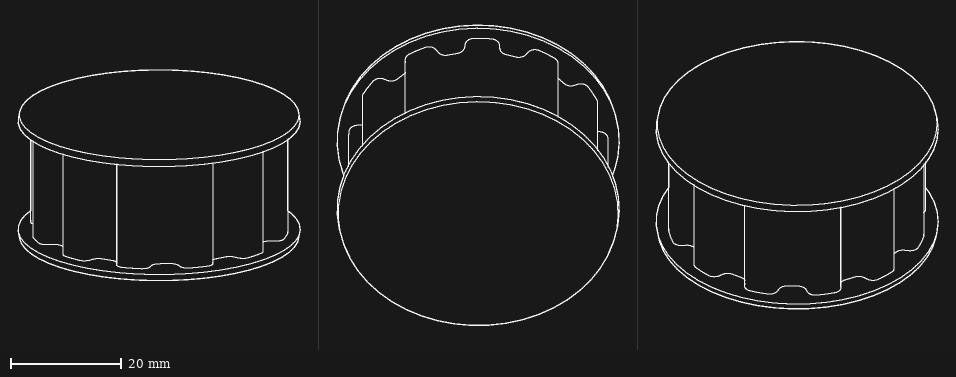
import cadquery as cq
import math

overall_height = 23.2

tooth_count = 12
tip_radius = 23.55
groove_depth = 3.05
groove_floor_width = 4.2
groove_flank_angle = 20.0
floor_fillet = 1.65
tip_fillet = 1.6

flange_radius = 25.6
flange_thickness = 1.3
flange_tilt = 10.0

pitch_angle = 360.0 / tooth_count
floor_radius = tip_radius - groove_depth

tilt = math.radians(flange_tilt)
outer_bend_radius = tip_radius
inner_bend_radius = outer_bend_radius + flange_thickness * math.tan(tilt / 2)
inner_rim_rise = (flange_radius - inner_bend_radius) * math.tan(tilt)
outer_rim_radius = flange_radius - flange_thickness * math.sin(tilt)
outer_rim_rise = inner_rim_rise + flange_thickness * math.cos(tilt)
half_tooth_width = overall_height / 2 - outer_rim_rise


def make_groove_cutter():
    """Groove with flared flanks and a rounded floor, open towards +X beyond the tooth tips."""
    mouth_radius = tip_radius + groove_depth
    flare = (mouth_radius - floor_radius) * math.tan(math.radians(groove_flank_angle))
    half_floor = groove_floor_width / 2
    half_mouth = half_floor + flare
    outline = [
        (floor_radius, -half_floor),
        (mouth_radius, -half_mouth),
        (mouth_radius, half_mouth),
        (floor_radius, half_floor),
    ]
    return (
        cq.Workplane("XY")
        .polyline(outline)
        .close()
        .extrude(half_tooth_width, both=True)
        .edges("|Z and <X")
        .fillet(floor_fillet)
    )


def is_tooth_corner(edge):
    """True for an upright edge near the tip circle, where a groove flank meets it."""
    center = edge.Center()
    return math.hypot(center.x, center.y) > tip_radius - groove_depth / 4


def make_toothed_body():
    """Cylinder with evenly spaced grooves, one of them on the +X axis, and rounded tooth tips."""
    body = cq.Workplane("XY").circle(tip_radius).extrude(half_tooth_width, both=True)
    cutter = make_groove_cutter()
    for index in range(tooth_count):
        body = body.cut(cutter.rotate((0, 0, 0), (0, 0, 1), index * pitch_angle))
    corners = [edge for edge in body.edges("|Z").vals() if is_tooth_corner(edge)]
    return body.newObject(corners).fillet(tip_fillet)


def make_upper_flange():
    """Solid disc seated on top of the teeth, with its rim tilted upwards."""
    seat = half_tooth_width
    return (
        cq.Workplane("XZ")
        .moveTo(0, seat)
        .lineTo(inner_bend_radius, seat)
        .lineTo(flange_radius, seat + inner_rim_rise)
        .lineTo(outer_rim_radius, seat + outer_rim_rise)
        .lineTo(outer_bend_radius, seat + flange_thickness)
        .lineTo(0, seat + flange_thickness)
        .close()
        .revolve(360, (0, 0, 0), (0, 1, 0))
    )


upper_flange = make_upper_flange()
lower_flange = upper_flange.mirror("XY")
result = make_toothed_body().union(upper_flange).union(lower_flange)